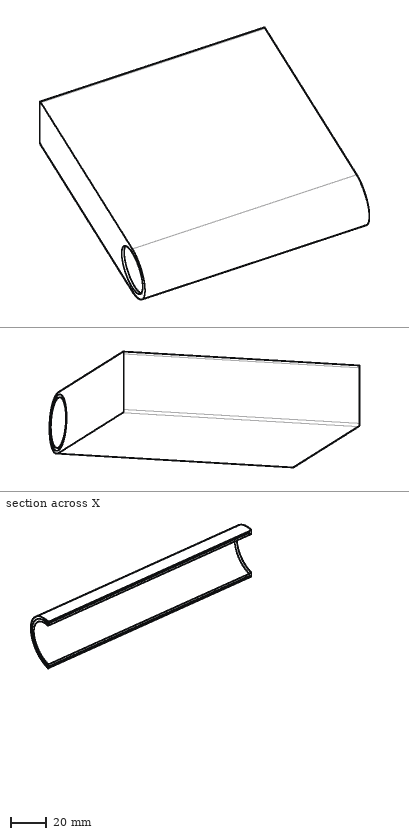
import cadquery as cq

length = 144.4
width = 139.6
height = 35.2
edge_radius = 1.6

sleeve_outer_diameter = 32.0
sleeve_inner_diameter = 28.7
lip_thickness = 1.6

nose_radius = height / 2
bore_x = length / 2 - nose_radius
front_y = -width / 2
sleeve_front_y = front_y + lip_thickness
sleeve_length = width - lip_thickness


def cylinder_along_y(diameter, start_y, depth):
    """Cylinder on the bore axis, running from start_y toward +Y."""
    start_plane = cq.Plane(origin=(bore_x, start_y, 0), xDir=(1, 0, 0), normal=(0, 1, 0))
    return cq.Workplane(start_plane).circle(diameter / 2).extrude(depth)


def make_housing():
    """Flat block with a full-round nose, and a bore with a lip at its -Y end."""
    block = (
        cq.Workplane("XZ", origin=(0, front_y, 0))
        .moveTo(-length / 2, -height / 2)
        .lineTo(bore_x, -height / 2)
        .threePointArc((length / 2, 0), (bore_x, height / 2))
        .lineTo(-length / 2, height / 2)
        .close()
        .extrude(-width)
        .edges("|Y and <X")
        .fillet(edge_radius)
    )
    lip_opening = cylinder_along_y(sleeve_inner_diameter, front_y, width)
    sleeve_seat = cylinder_along_y(sleeve_outer_diameter, sleeve_front_y, sleeve_length)
    return block.cut(lip_opening).cut(sleeve_seat)


def make_sleeve():
    """Tube that rests against the lip and ends flush with the +Y face."""
    tube = cylinder_along_y(sleeve_outer_diameter, sleeve_front_y, sleeve_length)
    return tube.cut(cylinder_along_y(sleeve_inner_diameter, sleeve_front_y, sleeve_length))


housing = make_housing()
sleeve = make_sleeve()

result = cq.Compound.makeCompound([housing.val(), sleeve.val()])